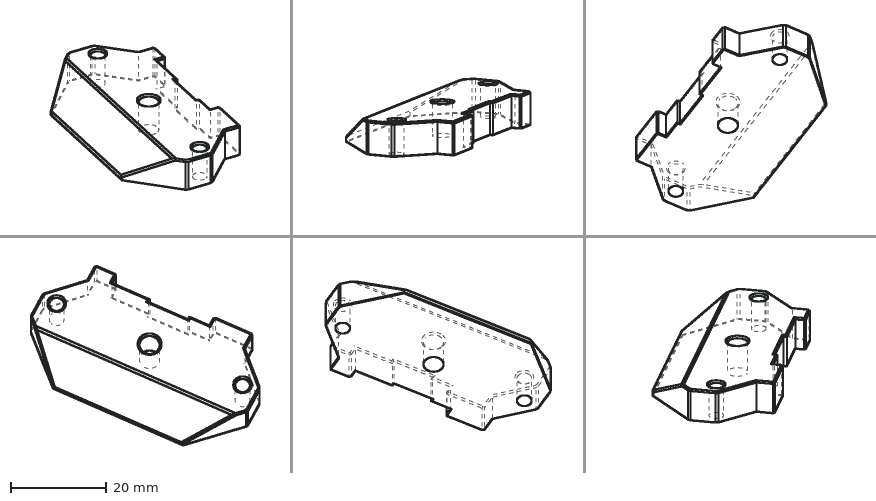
import cadquery as cq

length = 50.85
depth = 26.9
height = 7.25
half_length = length / 2
front_y = -15.1
back_y = front_y + depth

front_half_width = 15.25
side_front_y = -5.15
side_back_y = 0.95
ear_half_span = 18.45
ear_base_y = side_back_y + half_length - ear_half_span
left_ear_inner_x = -13.45
right_ear_inner_x = 9.3
shelf_y = 9.6
notch_y = 8.95
notch_half_width = 4.65

lip_height = 1.2
slope_top_y = -7.0

edge_chamfer = 0.35
bottom_chamfer = 0.15
hole_chamfer = 0.4

centre_hole_diameter = 4.2
side_hole_diameter = 3.1
side_hole_x = 21.75

tolerance = 0.005


def make_blank():
    outline = [
        (-front_half_width, front_y),
        (front_half_width, front_y),
        (half_length, side_front_y),
        (half_length, side_back_y),
        (ear_half_span, ear_base_y),
        (ear_half_span, back_y),
        (right_ear_inner_x, back_y),
        (right_ear_inner_x, shelf_y),
        (notch_half_width, shelf_y),
        (notch_half_width, notch_y),
        (-notch_half_width, notch_y),
        (-notch_half_width, shelf_y),
        (left_ear_inner_x, shelf_y),
        (left_ear_inner_x, back_y),
        (-ear_half_span, back_y),
        (-ear_half_span, ear_base_y),
        (-half_length, side_back_y),
        (-half_length, side_front_y),
    ]
    return cq.Workplane("XY").polyline(outline).close().extrude(height)


def cut_slope(body):
    wedge = (
        cq.Workplane("YZ")
        .polyline([(front_y, lip_height), (slope_top_y, height), (front_y, height)])
        .close()
        .extrude(half_length, both=True)
    )
    return body.cut(wedge)


def chamfer_corners(body):
    for side in ("<X", ">X", ">Y"):
        body = body.faces(side).edges("|Z").chamfer(edge_chamfer)
    return body


def chamfer_top_and_bottom(body):
    rim = body.faces(">Z").edges()
    slope_ends = body.edges(
        cq.selectors.BoxSelector(
            (-half_length, front_y, lip_height + tolerance),
            (half_length, slope_top_y - tolerance, height - tolerance),
        )
    )
    body = body.newObject(rim.vals() + slope_ends.vals()).chamfer(edge_chamfer)
    return body.faces("<Z").edges().chamfer(bottom_chamfer)


def drill(body, diameter, positions):
    return (
        body.faces(">Z")
        .workplane(origin=(0, 0, height))
        .pushPoints(positions)
        .cskHole(diameter, diameter + 2 * hole_chamfer, 90)
    )


result = make_blank()
result = cut_slope(result)
result = chamfer_corners(result)
result = chamfer_top_and_bottom(result)
result = drill(result, centre_hole_diameter, [(0, 0)])
result = drill(result, side_hole_diameter, [(-side_hole_x, 0), (side_hole_x, 0)])